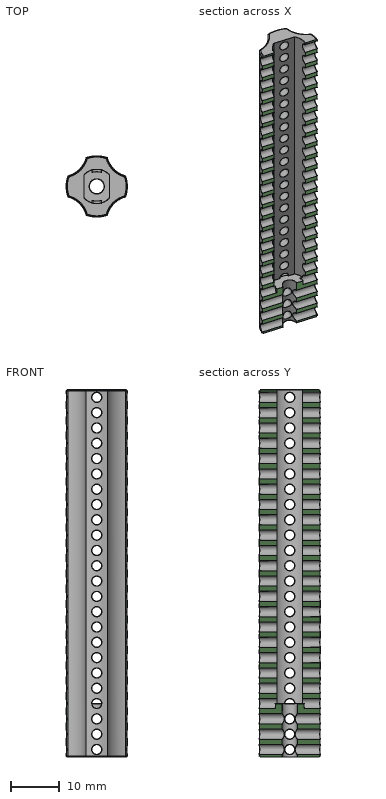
import cadquery as cq
import math

length = 75.0
outer_radius = 6.25
end_chamfer = 0.25

arm_count = 4
arm_half_width = 2.15
flute_depth_radius = 4.95

hole_rows = 24
hole_pitch = length / hole_rows
hole_diameter = 2.0

bore_radius = 3.5
bore_flat_width = 5.2
axial_hole_diameter = 3.0
rows_below_floor = 3
floor_z = (rows_below_floor + 0.5) * hole_pitch
floor_core_radius = 3.0


def polar(radius, angle):
    return (radius * math.cos(angle), radius * math.sin(angle))


def make_bar():
    """Four-armed bar with rounded arm ends and concave flutes, chamfered at both ends."""
    arm_step = 2 * math.pi / arm_count
    arm_half_angle = math.asin(arm_half_width / outer_radius)
    outline = cq.Workplane("XY").moveTo(*polar(outer_radius, -arm_half_angle))
    for arm in range(arm_count):
        angle = arm * arm_step
        next_angle = angle + arm_step
        outline = outline.threePointArc(
            polar(outer_radius, angle), polar(outer_radius, angle + arm_half_angle)
        )
        outline = outline.threePointArc(
            polar(flute_depth_radius, angle + arm_step / 2),
            polar(outer_radius, next_angle - arm_half_angle),
        )
    bar = outline.close().extrude(length)
    return bar.faces("|Z").chamfer(end_chamfer)


def make_bore():
    """Flatted bore from the floor up to the top end."""
    depth = length - floor_z
    bore = cq.Workplane("XY").workplane(offset=floor_z).circle(bore_radius).extrude(depth)
    flats = (
        cq.Workplane("XY")
        .workplane(offset=floor_z)
        .rect(bore_flat_width, 2 * bore_radius)
        .extrude(depth)
    )
    return bore.intersect(flats)


def make_cross_holes(plane):
    """One through hole per row, drilled along the normal of the given plane."""
    centers = [(0, (row + 0.5) * hole_pitch) for row in range(hole_rows)]
    sketch = cq.Workplane(plane).pushPoints(centers).circle(hole_diameter / 2)
    return sketch.extrude(outer_radius, both=True)


def make_floor_core():
    """Disc just under the bore floor that blocks the lower half of the holes at floor level."""
    thickness = hole_diameter / 2
    return (
        cq.Workplane("XY")
        .workplane(offset=floor_z - thickness)
        .circle(floor_core_radius)
        .extrude(thickness)
    )


def make_axial_hole():
    """Axial hole through the floor, from the bottom end up into the bore."""
    return cq.Workplane("XY").circle(axial_hole_diameter / 2).extrude(length)


bar = make_bar().cut(make_bore())
for hole_plane in ("XZ", "YZ"):
    bar = bar.cut(make_cross_holes(hole_plane))
result = bar.union(make_floor_core()).cut(make_axial_hole())